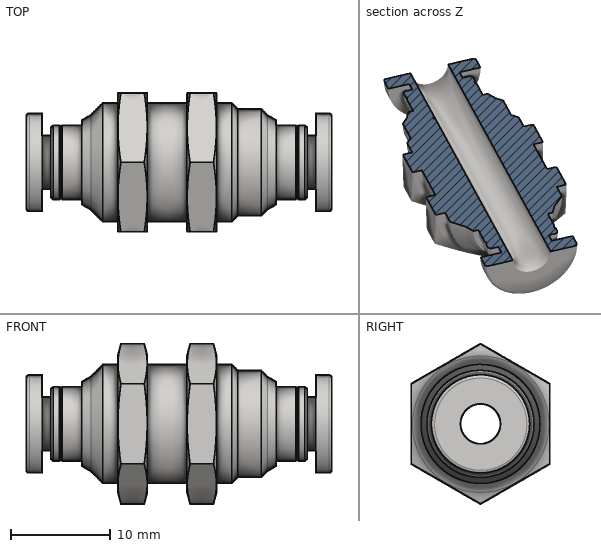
import cadquery as cq
import math

TOTAL_LENGTH = 30.8
BORE_DIAMETER = 4.0

COLLAR_RADIUS = 4.95
COLLAR_WIDTH = 1.6
COLLAR_FILLET = 0.3
NECK_RADIUS = 2.72

SLEEVE_RADIUS = 3.75
SLEEVE_START = 2.45
SLEEVE_CHAMFER = 0.25
GROOVE_CENTER = 3.5
GROOVE_DEPTH = 0.15
SLEEVE_END = 5.6

SHOULDER_FACE_RADIUS = 4.25
SHOULDER_CONE_LENGTH = 0.9
SHOULDER_CONE_ANGLE = 30.0
SHOULDER_RADIUS = SHOULDER_FACE_RADIUS + SHOULDER_CONE_LENGTH * math.tan(math.radians(SHOULDER_CONE_ANGLE))
SHOULDER_END = SLEEVE_END + SHOULDER_CONE_LENGTH

BODY_RADIUS = 6.0
BODY_END = 20.7
STEP_RADIUS = 5.4

NUT_ACROSS_FLATS = 14.0
NUT_WIDTH = 3.0
NUT_STARTS = (9.22, 16.2)
NUT_FACE_RADIUS = 6.88
NUT_CHAMFER_ANGLE = 15.0


def make_body():
    """Revolve the conical shoulders, threaded body and reduced step about X."""
    left_cone_end = SHOULDER_END + BODY_RADIUS - SHOULDER_RADIUS
    step_start = BODY_END + BODY_RADIUS - STEP_RADIUS
    right_shoulder = TOTAL_LENGTH - SHOULDER_END
    step_end = right_shoulder - (STEP_RADIUS - SHOULDER_RADIUS)
    right_face = TOTAL_LENGTH - SLEEVE_END
    profile = (
        cq.Workplane("XY")
        .moveTo(SLEEVE_END, 0)
        .lineTo(SLEEVE_END, SHOULDER_FACE_RADIUS)
        .lineTo(SHOULDER_END, SHOULDER_RADIUS)
        .lineTo(left_cone_end, BODY_RADIUS)
        .lineTo(BODY_END, BODY_RADIUS)
        .lineTo(step_start, STEP_RADIUS)
        .lineTo(step_end, STEP_RADIUS)
        .lineTo(right_shoulder, SHOULDER_RADIUS)
        .lineTo(right_face, SHOULDER_FACE_RADIUS)
        .lineTo(right_face, 0)
        .close()
    )
    return profile.revolve(360, (0, 0, 0), (1, 0, 0))


def make_left_end():
    """Revolve the collar, neck and grooved sleeve at the -X end."""
    sleeve_rim = SLEEVE_RADIUS - SLEEVE_CHAMFER
    collar_rim = COLLAR_RADIUS - COLLAR_FILLET
    profile = (
        cq.Workplane("XY")
        .lineTo(0, collar_rim)
        .radiusArc((COLLAR_FILLET, COLLAR_RADIUS), COLLAR_FILLET)
        .lineTo(COLLAR_WIDTH, COLLAR_RADIUS)
        .lineTo(COLLAR_WIDTH, NECK_RADIUS)
        .lineTo(SLEEVE_START, NECK_RADIUS)
        .lineTo(SLEEVE_START, sleeve_rim)
        .lineTo(SLEEVE_START + SLEEVE_CHAMFER, SLEEVE_RADIUS)
        .lineTo(GROOVE_CENTER - GROOVE_DEPTH, SLEEVE_RADIUS)
        .lineTo(GROOVE_CENTER, SLEEVE_RADIUS - GROOVE_DEPTH)
        .lineTo(GROOVE_CENTER + GROOVE_DEPTH, SLEEVE_RADIUS)
        .lineTo(SLEEVE_END, SLEEVE_RADIUS)
        .lineTo(SLEEVE_END, 0)
        .close()
    )
    return profile.revolve(360, (0, 0, 0), (1, 0, 0))


def make_nut(start):
    """Make a hex nut whose corners are trimmed by a cone on both faces."""
    corner_radius = NUT_ACROSS_FLATS / math.sqrt(3)
    chamfer_depth = (corner_radius - NUT_FACE_RADIUS) * math.tan(math.radians(NUT_CHAMFER_ANGLE))
    hexagon = (
        cq.Workplane("YZ", origin=(start, 0, 0))
        .transformed(rotate=(0, 0, 90))
        .polygon(6, 2 * corner_radius)
        .extrude(NUT_WIDTH)
    )
    end = start + NUT_WIDTH
    envelope = (
        cq.Workplane("XY")
        .moveTo(start, 0)
        .lineTo(start, NUT_FACE_RADIUS)
        .lineTo(start + chamfer_depth, corner_radius)
        .lineTo(end - chamfer_depth, corner_radius)
        .lineTo(end, NUT_FACE_RADIUS)
        .lineTo(end, 0)
        .close()
        .revolve(360, (0, 0, 0), (1, 0, 0))
    )
    return hexagon.intersect(envelope)


left_end = make_left_end()
right_end = left_end.mirror("YZ").translate((TOTAL_LENGTH, 0, 0))

part = make_body().union(left_end).union(right_end)
for nut_start in NUT_STARTS:
    part = part.union(make_nut(nut_start))

bore = cq.Workplane("YZ").circle(BORE_DIAMETER / 2).extrude(TOTAL_LENGTH)
result = part.cut(bore).translate((-TOTAL_LENGTH / 2, 0, 0))